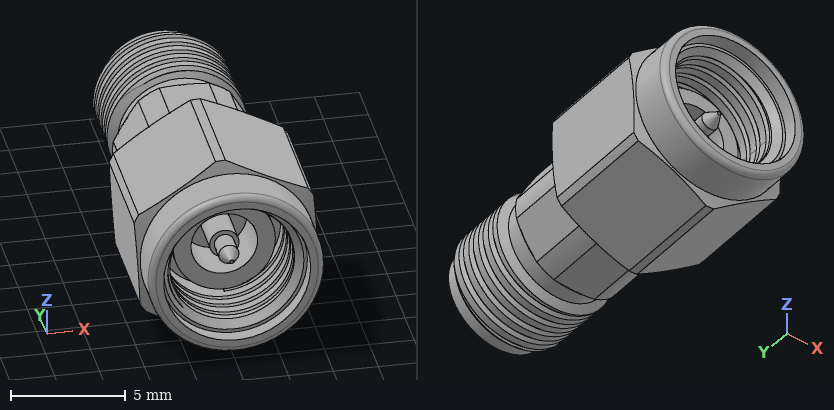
import cadquery as cq
import math


LENGTH = 17.2
NUT_HEX_START = 2.05
NUT_HEX_END = 7.98
BODY_HEX_END = 11.8
THREAD_START = 12.83
THREAD_END = 16.53

COLLAR_RADIUS = 3.9
COLLAR_EDGE_RADIUS = 0.3
NUT_ACROSS_FLATS = 8.02
NUT_CORNER_RADIUS = 4.5
NUT_CHAMFER_LENGTH = 0.19
NUT_TILT = 3.7

COUNTERBORE_RADIUS = 3.27
COUNTERBORE_DEPTH = 0.7
LEAD_IN_RADIUS = 3.11
NUT_BORE_RADIUS = 2.77
NUT_BORE_DEPTH = 4.13
LEAD_IN_LENGTH = LEAD_IN_RADIUS - NUT_BORE_RADIUS
NUT_THREAD_START = 0.88
NUT_THREAD_END = 3.61
NUT_THREAD_ANGLE = 131.0

BARREL_RADIUS = 2.27
BARREL_BORE_RADIUS = 1.48
BARREL_FRONT = 2.82
BARREL_BORE_END = 5.16
CONDUCTOR_RADIUS = 0.65
PIN_RADIUS = 0.45
PIN_TIP_RADIUS = 0.09
PIN_TIP = 1.17
PIN_CONE_LENGTH = 0.67

BODY_ACROSS_FLATS = 6.0
BODY_CORNER_RADIUS = 3.2
BODY_END_RADIUS = 2.95
BODY_CHAMFER_LENGTH = 0.12

SLEEVE_RADIUS = 2.72
THREAD_RADIUS = 3.15
THREAD_REAR_CHAMFER = 0.31
THREAD_FRONT_CHAMFER_LENGTH = 0.25
SLEEVE_THREAD_ANGLE = 165.0

PITCH = 0.7
SLEEVE_GROOVE_DEPTH = 0.19
SLEEVE_GROOVE_MOUTH = 0.33
NUT_GROOVE_DEPTH = 0.15
NUT_GROOVE_MOUTH = 0.25


def disc(radius, start, end):
    """Round bar between two stations on the axis."""
    return cq.Workplane("XY").workplane(offset=start).circle(radius).extrude(end - start)


def revolved(points):
    """Solid of revolution from (radius, station) points."""
    return cq.Workplane("XZ").polyline(points).close().revolve(360, (0, 0), (0, 1))


def hexagon(across_flats, start, end, corner_angle):
    """Hexagonal bar with one corner at the given angle."""
    bar = cq.Workplane("XY").workplane(offset=start)
    bar = bar.polygon(6, across_flats / math.cos(math.radians(30))).extrude(end - start)
    return bar.rotate((0, 0, 0), (0, 0, 1), corner_angle)


def thread_groove(surface_radius, depth, mouth, start, end, start_angle):
    """Right-hand helical groove in a round surface; a negative depth cuts towards the axis."""
    overshoot = 0.2
    mouth_radius = surface_radius - overshoot * depth
    mouth_half = (1 + overshoot) * mouth / 2
    profile = cq.Workplane("XZ").polyline([
        (mouth_radius, -mouth_half),
        (surface_radius + depth, 0),
        (mouth_radius, mouth_half),
    ]).close()
    helix = cq.Workplane(cq.Wire.makeHelix(PITCH, end - start, surface_radius))
    groove = profile.sweep(helix, isFrenet=True)
    return groove.rotate((0, 0, 0), (0, 0, 1), start_angle).translate((0, 0, start))


def nut_outside():
    """Round collar and hexagon, with the hexagon corners rounded and chamfered at both ends."""
    collar = disc(COLLAR_RADIUS, 0, NUT_HEX_START).faces("<Z").edges().fillet(COLLAR_EDGE_RADIUS)
    limit = revolved([
        (0, NUT_HEX_START),
        (COLLAR_RADIUS, NUT_HEX_START),
        (NUT_CORNER_RADIUS, NUT_HEX_START + NUT_CHAMFER_LENGTH),
        (NUT_CORNER_RADIUS, NUT_HEX_END - NUT_CHAMFER_LENGTH),
        (COLLAR_RADIUS, NUT_HEX_END),
        (0, NUT_HEX_END),
    ])
    bar = hexagon(NUT_ACROSS_FLATS, NUT_HEX_START, NUT_HEX_END, -90 - NUT_TILT)
    return collar.union(bar.intersect(limit))


def nut_cavity():
    """Stepped bore of the nut and its thread groove."""
    bore = revolved([
        (0, 0),
        (COUNTERBORE_RADIUS, 0),
        (COUNTERBORE_RADIUS, COUNTERBORE_DEPTH),
        (LEAD_IN_RADIUS, COUNTERBORE_DEPTH),
        (NUT_BORE_RADIUS, COUNTERBORE_DEPTH + LEAD_IN_LENGTH),
        (NUT_BORE_RADIUS, NUT_BORE_DEPTH),
        (0, NUT_BORE_DEPTH),
    ])
    groove = thread_groove(
        NUT_BORE_RADIUS, NUT_GROOVE_DEPTH, NUT_GROOVE_MOUTH,
        NUT_THREAD_START, NUT_THREAD_END, NUT_THREAD_ANGLE,
    )
    return bore, groove


def barrel():
    """Barrel standing on the floor of the nut bore."""
    return disc(BARREL_RADIUS, BARREL_FRONT, NUT_BORE_DEPTH)


def centre_pin():
    """Conductor on the barrel floor, stepping down to a pin with a conical tip."""
    cone_end = PIN_TIP + PIN_CONE_LENGTH
    return revolved([
        (0, PIN_TIP),
        (PIN_TIP_RADIUS, PIN_TIP),
        (PIN_RADIUS, cone_end),
        (PIN_RADIUS, BARREL_FRONT),
        (CONDUCTOR_RADIUS, BARREL_FRONT),
        (CONDUCTOR_RADIUS, BARREL_BORE_END),
        (0, BARREL_BORE_END),
    ])


def body_hexagon():
    """Middle hexagon with rounded corners, chamfered at its rear end."""
    limit = revolved([
        (0, NUT_HEX_END),
        (BODY_CORNER_RADIUS, NUT_HEX_END),
        (BODY_CORNER_RADIUS, BODY_HEX_END - BODY_CHAMFER_LENGTH),
        (BODY_END_RADIUS, BODY_HEX_END),
        (0, BODY_HEX_END),
    ])
    return hexagon(BODY_ACROSS_FLATS, NUT_HEX_END, BODY_HEX_END, 0).intersect(limit)


def threaded_sleeve():
    """Rear sleeve carrying a raised, externally threaded band."""
    groove = thread_groove(
        THREAD_RADIUS, -SLEEVE_GROOVE_DEPTH, SLEEVE_GROOVE_MOUTH,
        THREAD_START, THREAD_END, SLEEVE_THREAD_ANGLE,
    )
    limit = revolved([
        (0, THREAD_START),
        (SLEEVE_RADIUS, THREAD_START),
        (THREAD_RADIUS, THREAD_START + THREAD_FRONT_CHAMFER_LENGTH),
        (THREAD_RADIUS, THREAD_END - THREAD_REAR_CHAMFER),
        (THREAD_RADIUS - THREAD_REAR_CHAMFER, THREAD_END),
        (0, THREAD_END),
    ])
    thread = disc(THREAD_RADIUS, BODY_HEX_END, LENGTH).cut(groove).intersect(limit)
    return disc(SLEEVE_RADIUS, BODY_HEX_END, LENGTH).union(thread)


bore, bore_groove = nut_cavity()
adapter = nut_outside().cut(bore).cut(bore_groove)
adapter = adapter.union(body_hexagon()).union(threaded_sleeve()).union(barrel())
adapter = adapter.cut(disc(BARREL_BORE_RADIUS, BARREL_FRONT, BARREL_BORE_END)).union(centre_pin())
result = adapter.rotate((0, 0, 0), (1, 0, 0), -90)